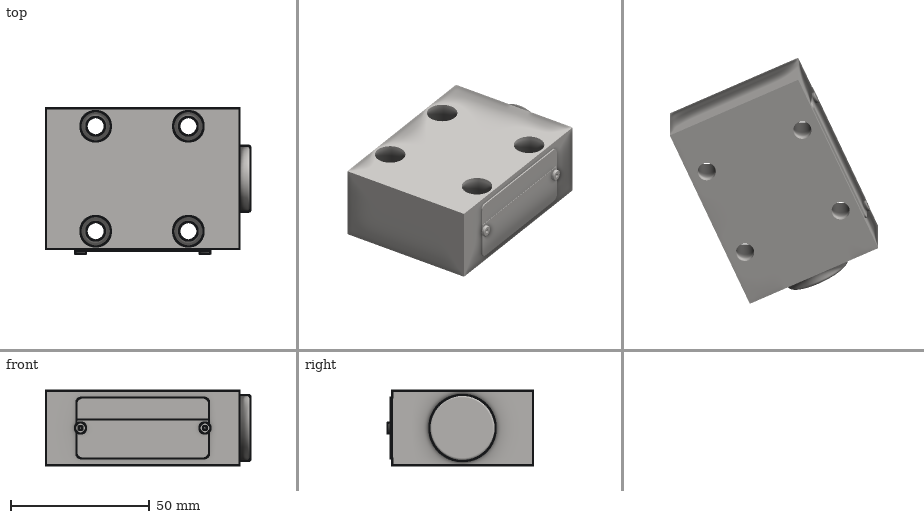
import cadquery as cq

BLOCK_LENGTH = 70.0
BLOCK_DEPTH = 51.0
BLOCK_HEIGHT = 27.0

HOLE_DIAMETER = 6.6
COUNTERBORE_DIAMETER = 11.0
COUNTERBORE_DEPTH = 8.0
FIRST_HOLE_X = 18.0
HOLE_PITCH_X = 33.5
HOLE_PITCH_Y = 37.95

PLUG_DIAMETER = 24.0
PLUG_LENGTH = 4.0
PLUG_FILLET = 1.0

PLATE_LENGTH = 48.0
PLATE_HEIGHT = 22.0
PLATE_CORNER_RADIUS = 2.0
BASE_THICKNESS = 0.5
COVER_THICKNESS = 0.1
COVER_HEIGHT = 14.0

SCREW_PITCH = 45.0
SCREW_DIAMETER = 4.0
SCREW_HEIGHT = 1.0
SCREW_FILLET = 0.3
DIMPLE_DIAMETER = 1.5
DIMPLE_DEPTH = 0.45

MID_X = BLOCK_LENGTH / 2
MID_Y = BLOCK_DEPTH / 2
MID_Z = BLOCK_HEIGHT / 2
PLATE_BOTTOM = MID_Z - PLATE_HEIGHT / 2
BASE_FRONT = -BASE_THICKNESS
COVER_FRONT = BASE_FRONT - COVER_THICKNESS


def make_block():
    """Rectangular block with four counterbored holes opening upward."""
    hole_centres = [
        (FIRST_HOLE_X + i * HOLE_PITCH_X, MID_Y + side * HOLE_PITCH_Y / 2)
        for i in (0, 1)
        for side in (-1, 1)
    ]
    block = cq.Workplane("XY").box(BLOCK_LENGTH, BLOCK_DEPTH, BLOCK_HEIGHT, centered=False)
    return (
        block.faces(">Z")
        .workplane(origin=(0, 0, BLOCK_HEIGHT))
        .pushPoints(hole_centres)
        .cboreHole(HOLE_DIAMETER, COUNTERBORE_DIAMETER, COUNTERBORE_DEPTH)
    )


def make_plug():
    """Round plug against the +X face, with a rounded outer rim."""
    return (
        cq.Workplane("YZ", origin=(BLOCK_LENGTH, MID_Y, MID_Z))
        .circle(PLUG_DIAMETER / 2)
        .extrude(PLUG_LENGTH)
        .faces(">X")
        .edges()
        .fillet(PLUG_FILLET)
    )


def make_plate(back_y, thickness, height):
    """Plate standing on the common bottom line, growing toward -Y from back_y."""
    return (
        cq.Workplane("XZ", origin=(MID_X, back_y, PLATE_BOTTOM + height / 2))
        .rect(PLATE_LENGTH, height)
        .extrude(thickness)
    )


def make_base_plate():
    """Full-height plate with four rounded corners."""
    plate = make_plate(0, BASE_THICKNESS, PLATE_HEIGHT)
    return plate.edges("|Y").fillet(PLATE_CORNER_RADIUS)


def make_cover_plate():
    """Lower plate with a square top edge and two rounded bottom corners."""
    plate = make_plate(BASE_FRONT, COVER_THICKNESS, COVER_HEIGHT)
    return plate.faces("<Z").edges("|Y").fillet(PLATE_CORNER_RADIUS)


def make_screw(x):
    """Round screw head with a rounded rim and a conical dimple."""
    front_y = COVER_FRONT - SCREW_HEIGHT
    head = (
        cq.Workplane("XZ", origin=(x, COVER_FRONT, MID_Z))
        .circle(SCREW_DIAMETER / 2)
        .extrude(SCREW_HEIGHT)
        .faces("<Y")
        .edges()
        .fillet(SCREW_FILLET)
    )
    dimple = cq.Solid.makeCone(
        DIMPLE_DIAMETER / 2, 0, DIMPLE_DEPTH, cq.Vector(x, front_y, MID_Z), cq.Vector(0, 1, 0)
    )
    return head.cut(cq.Workplane(dimple))


block = make_block()
plug = make_plug()
base_plate = make_base_plate()
cover_plate = make_cover_plate()
screws = [make_screw(MID_X + side * SCREW_PITCH / 2) for side in (-1, 1)]

result = cq.Compound.makeCompound(
    [block.val(), plug.val(), base_plate.val(), cover_plate.val(), *[screw.val() for screw in screws]]
)